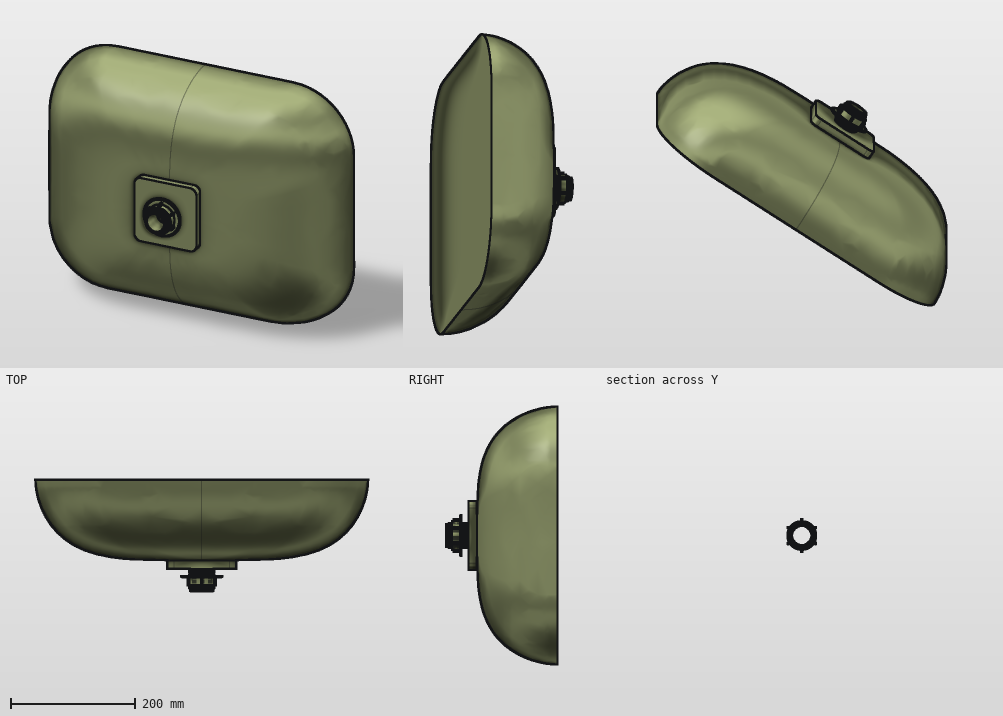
import cadquery as cq
import math

WIDTH = 535.0
HEIGHT = 415.0
BASIN_DEPTH = 129.5
CORNER_RADIUS = 110.0
WIDTH_POWER = 4.4
HEIGHT_POWER = 3.8
DEPTH_POWER = 1.8
CORNER_POWER = 0.7
CAP_SCALE = 0.2
SECTION_COUNT = 14
OUTLINE_POINTS = 50

PLATE_SIZE = 111.5
PLATE_THICKNESS = 14.0
PLATE_CORNER_RADIUS = 11.0

SPIGOT_LENGTH = 36.0
CREST_RADIUS = 20.5
ROOT_RADIUS = 18.5
END_RADIUS = 17.5
END_BEVEL_HEIGHT = 0.5
BORE_RADIUS = 15.5
RIDGE_COUNT = 5
RIDGE_PITCH = 6.5
RIDGE_BASE = 5.5
RIDGE_CREST = 2.0
FIRST_RIDGE = 4.0

WASHER_OFFSET = 11.0
WASHER_RADIUS = 33.0
WASHER_THICKNESS = 2.0
WASHER_BEVEL_WIDTH = 2.0
WASHER_BEVEL_HEIGHT = 1.0
NUT_RADIUS = 23.0
NUT_HEIGHT = 13.0
LUG_COUNT = 6
LUG_TIP_RADIUS = 26.0
LUG_WIDTH = 2.0
LUG_HEIGHT = 10.0

PLATE_START = BASIN_DEPTH
SPIGOT_START = PLATE_START + PLATE_THICKNESS
WASHER_START = SPIGOT_START + WASHER_OFFSET
NUT_START = WASHER_START + WASHER_THICKNESS


def plane_at(depth):
    """Workplane facing -Y at a depth; its local x is X and its local y is Z."""
    return cq.Workplane("XZ", origin=(0, -depth, 0))


def half_section(half_width, half_height, corner_radius, depth):
    """Closed wire of the -X half of a rounded rectangle, with its round side as one smooth edge."""
    corner_mid = corner_radius * (1 - math.sqrt(0.5))
    outline = (
        plane_at(depth)
        .moveTo(0, -half_height)
        .lineTo(corner_radius - half_width, -half_height)
        .threePointArc(
            (corner_mid - half_width, corner_mid - half_height),
            (-half_width, corner_radius - half_height),
        )
        .lineTo(-half_width, half_height - corner_radius)
        .threePointArc(
            (corner_mid - half_width, half_height - corner_mid),
            (corner_radius - half_width, half_height),
        )
        .lineTo(0, half_height)
        .wire()
        .val()
    )
    points = outline.positions([i / OUTLINE_POINTS for i in range(OUTLINE_POINTS + 1)])
    tangents = [cq.Vector(-1, 0, 0), cq.Vector(1, 0, 0)]
    round_side = cq.Edge.makeSpline(points, tangents=tangents)
    return cq.Wire.assembleEdges([round_side, cq.Edge.makeLine(points[-1], points[0])])


def make_basin():
    """Half dome lofted through shrinking sections, joined to its mirror image at X = 0."""
    cap_depth_ratio = (1 - CAP_SCALE**WIDTH_POWER) ** (1 / DEPTH_POWER)
    last_angle = math.asin(cap_depth_ratio)
    sections = []
    for i in range(SECTION_COUNT):
        depth_ratio = math.sin(last_angle * i / (SECTION_COUNT - 1))
        narrowing = 1 - depth_ratio**DEPTH_POWER
        width_scale = narrowing ** (1 / WIDTH_POWER)
        height_scale = narrowing ** (1 / HEIGHT_POWER)
        sections.append(
            half_section(
                WIDTH / 2 * width_scale,
                HEIGHT / 2 * height_scale,
                CORNER_RADIUS * height_scale**CORNER_POWER,
                BASIN_DEPTH * depth_ratio / cap_depth_ratio,
            )
        )
    half = cq.Workplane(cq.Solid.makeLoft(sections))
    return half.union(half.mirror("YZ"))


def make_plate():
    """Square plate with rounded corners, lying on the dome top."""
    plate = plane_at(PLATE_START).rect(PLATE_SIZE, PLATE_SIZE).extrude(PLATE_THICKNESS)
    return plate.edges("|Y").fillet(PLATE_CORNER_RADIUS)


def make_spigot():
    """Tube with trapezoid thread rings and a bevelled free end, revolved about the Y axis."""
    spigot_end = SPIGOT_START + SPIGOT_LENGTH
    profile = (
        cq.Workplane("XY")
        .moveTo(BORE_RADIUS, -SPIGOT_START)
        .lineTo(ROOT_RADIUS, -SPIGOT_START)
    )
    for i in range(RIDGE_COUNT):
        middle = SPIGOT_START + FIRST_RIDGE + i * RIDGE_PITCH
        profile = (
            profile.lineTo(ROOT_RADIUS, -(middle - RIDGE_BASE / 2))
            .lineTo(CREST_RADIUS, -(middle - RIDGE_CREST / 2))
            .lineTo(CREST_RADIUS, -(middle + RIDGE_CREST / 2))
            .lineTo(ROOT_RADIUS, -(middle + RIDGE_BASE / 2))
        )
    profile = (
        profile.lineTo(ROOT_RADIUS, -(spigot_end - END_BEVEL_HEIGHT))
        .lineTo(END_RADIUS, -spigot_end)
        .lineTo(BORE_RADIUS, -spigot_end)
        .close()
    )
    return profile.revolve(360, (0, 0, 0), (0, 1, 0))


def make_washer():
    """Thin ring whose outer edge is bevelled on the nut side."""
    washer = plane_at(WASHER_START).circle(WASHER_RADIUS).circle(CREST_RADIUS).extrude(WASHER_THICKNESS)
    rim = washer.faces("<Y").edges(cq.selectors.RadiusNthSelector(-1))
    return rim.chamfer(WASHER_BEVEL_HEIGHT, WASHER_BEVEL_WIDTH)


def make_nut():
    """Round nut with grip lugs around it, the first one at +Z."""
    nut = plane_at(NUT_START).circle(NUT_RADIUS).extrude(NUT_HEIGHT)
    for i in range(LUG_COUNT):
        lug = (
            plane_at(NUT_START)
            .transformed(rotate=(0, 0, i * 360 / LUG_COUNT))
            .center(0, LUG_TIP_RADIUS / 2)
            .rect(LUG_WIDTH, LUG_TIP_RADIUS)
            .extrude(LUG_HEIGHT)
        )
        nut = nut.union(lug)
    return nut.cut(plane_at(NUT_START).circle(CREST_RADIUS).extrude(NUT_HEIGHT))


basin = make_basin()
plate = make_plate()
spigot = make_spigot()
washer = make_washer()
nut = make_nut()

bodies = [basin, plate, spigot, washer, nut]
result = cq.Compound.makeCompound([body.solids().val() for body in bodies])